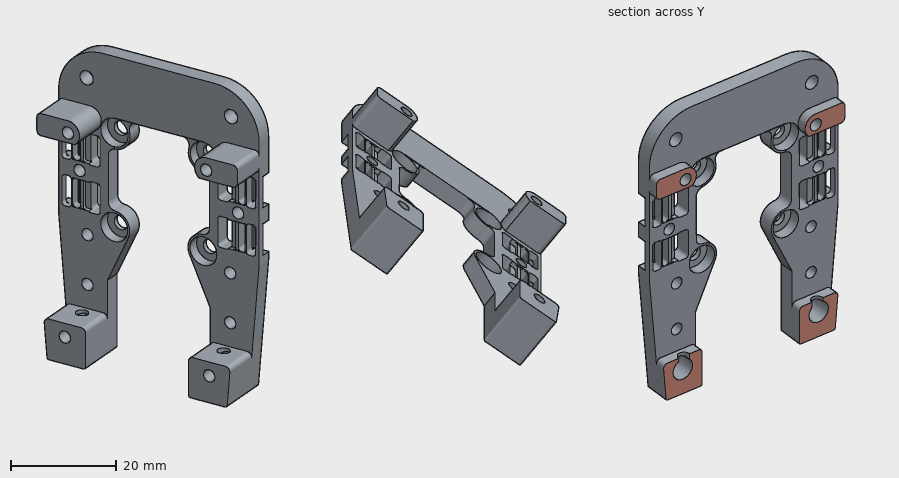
import cadquery as cq
import math

HEIGHT = 63.3
WIDTH = 45.0
HALF_WIDTH = WIDTH / 2
PLATE_THICKNESS = 3.5
BLOCK_REACH = 7.85
TOP_CORNER_RADIUS = 10.0
FOOT_OUTER_X = 20.2
FOOT_INNER_X = 11.5
FOOT_CORNER_RADIUS = 0.5

OPENING_TOP = 50.25
WAIST_X = 11.3
FLARE_BOTTOM = 15.7
OPENING_FILLET = 1.5

EAR_X = 10.0
EAR_UPPER_Z = 47.2
EAR_LOWER_Z = 27.3
EAR_RADIUS = 3.5
COUNTERBORE_DIAMETER = 6.0
COUNTERBORE_DEPTH = 2.4
LARGE_HOLE = 3.0
UPPER_EAR_STEP = 0.1
WEB_X = 6.7

SMALL_HOLE = 2.55
CORNER_HOLE = (16.2, 57.2)
BLOCK_HOLE = (15.5, 48.9)
WINDOW_HOLE = (17.8, 37.3)
LEG_HOLES = [(16.0, 24.2), (16.0, 13.7)]
FOOT_HOLE = (16.2, 5.7)
FOOT_BORE_DIAMETER = 4.5
FOOT_BORE_END = -3.5
FOOT_TOP_HOLE_X = 15.9
FOOT_TOP_HOLE_Y = -2.15

BLOCK_FILLET = 1.0
BLOCK_BOTTOM = 46.85
BLOCK_NOSE_RADIUS = 2.6
FOOT_HEIGHT = 8.6

WINDOW_HEIGHT = 6.6
WINDOW_SPACING = 10.0
WINDOW_OUTER_X = 21.7
WINDOW_INNER_X = 13.2
WINDOW_RADIUS = 0.7
POST_OUTER_X = 19.6
POST_INNER_X = 15.8
RIDGE_INNER_X = 17.1
RIDGE_OUTER_X = 17.7
FIN_INNER_X = 19.4
GROOVE_INSET = 0.25
GROOVE_RADIUS = 0.5
RIDGE_RECESS = 0.25
SHALLOW_GROOVE_DEPTH = 1.0
DEEP_GROOVE_DEPTH = 2.8
FIN_SLOT_FRONT = 2.15
SIDE_CHANNEL_FRONT = 1.45


def box(x_range, y_range, z_range):
    """Axis-aligned box between the given limits."""
    (x0, x1), (y0, y1), (z0, z1) = x_range, y_range, z_range
    return cq.Workplane("XY").box(x1 - x0, y1 - y0, z1 - z0, centered=False).translate((x0, y0, z0))


def hole(x, z, diameter, front, back):
    """Cylinder along Y that cuts a hole from the front to the back position."""
    drill = cq.Workplane("XZ", origin=(x, front, z)).circle(diameter / 2)
    return drill.extrude(front - back)


def arc_point(center, radius, angle):
    """Point on a circle at the given angle, counterclockwise from +X."""
    return (center[0] + radius * math.cos(angle), center[1] + radius * math.sin(angle))


def waist_fillet(ear_z, side):
    """Tangent points and middle of the hollow fillet joining an ear to the waist wall.

    side is +1 where the waist lies above the ear and -1 where it lies below.
    """
    reach = EAR_RADIUS + OPENING_FILLET
    center_x = WAIST_X - OPENING_FILLET
    rise = math.sqrt(reach ** 2 - (center_x - EAR_X) ** 2)
    center = (center_x, ear_z + side * rise)
    to_ear = math.atan2(-side * rise, EAR_X - center_x)
    on_ear = arc_point(center, OPENING_FILLET, to_ear)
    middle = arc_point(center, OPENING_FILLET, to_ear / 2)
    on_wall = (WAIST_X, center[1])
    return on_ear, middle, on_wall


def half_plate():
    """Right half of the plate, from the middle of the top bar down to the foot."""
    diagonal = TOP_CORNER_RADIUS * math.sqrt(0.5)
    corner_center = (HALF_WIDTH - TOP_CORNER_RADIUS, HEIGHT - TOP_CORNER_RADIUS)
    corner_middle = (corner_center[0] + diagonal, corner_center[1] + diagonal)

    ear_tip_x = EAR_X - EAR_RADIUS
    upper_ear_point, upper_middle, upper_wall = waist_fillet(EAR_UPPER_Z, -1)
    lower_ear_point, lower_middle, lower_wall = waist_fillet(EAR_LOWER_Z, 1)

    run = FOOT_INNER_X - EAR_X
    rise = EAR_LOWER_Z - FLARE_BOTTOM
    flare_tilt = math.atan2(run, rise) + math.asin(EAR_RADIUS / math.hypot(run, rise))
    flare_top = arc_point((EAR_X, EAR_LOWER_Z), EAR_RADIUS, math.pi + flare_tilt)
    web_foot = (WEB_X, EAR_UPPER_Z + math.sqrt(EAR_RADIUS ** 2 - (EAR_X - WEB_X) ** 2))
    toward_lower_left = math.radians(225)
    upper_arc_middle = arc_point((EAR_X, EAR_UPPER_Z), EAR_RADIUS, toward_lower_left)

    outline = (
        cq.Workplane("XZ")
        .moveTo(0, HEIGHT)
        .lineTo(corner_center[0], HEIGHT)
        .threePointArc(corner_middle, (HALF_WIDTH, corner_center[1]))
        .lineTo(HALF_WIDTH, EAR_LOWER_Z)
        .lineTo(FOOT_OUTER_X, 0)
        .lineTo(FOOT_INNER_X, 0)
        .lineTo(FOOT_INNER_X, FLARE_BOTTOM)
        .lineTo(*flare_top)
        .threePointArc((ear_tip_x, EAR_LOWER_Z), lower_ear_point)
        .threePointArc(lower_middle, lower_wall)
        .lineTo(*upper_wall)
        .threePointArc(upper_middle, upper_ear_point)
        .threePointArc(upper_arc_middle, web_foot)
        .lineTo(WEB_X, OPENING_TOP)
        .lineTo(0, OPENING_TOP)
        .close()
    )
    plate = outline.extrude(-PLATE_THICKNESS)
    web_corner = cq.selectors.NearestToPointSelector((WEB_X, PLATE_THICKNESS / 2, OPENING_TOP))
    return plate.edges("|Y").edges(web_corner).fillet(OPENING_FILLET)


def foot():
    """Block at the bottom of the leg, following the taper of its outer side."""
    taper = (HALF_WIDTH - FOOT_OUTER_X) / EAR_LOWER_Z
    block = (
        cq.Workplane("XZ")
        .moveTo(FOOT_INNER_X, 0)
        .lineTo(FOOT_OUTER_X, 0)
        .lineTo(FOOT_OUTER_X + taper * FOOT_HEIGHT, FOOT_HEIGHT)
        .lineTo(FOOT_INNER_X, FOOT_HEIGHT)
        .close()
        .extrude(BLOCK_REACH)
    )
    return block.faces(">Z").edges("|Y").fillet(BLOCK_FILLET)


def upper_block():
    """Block beside the upper ear, its inner end rounded about its screw hole."""
    x, z = BLOCK_HOLE
    top = z + BLOCK_NOSE_RADIUS
    nose_end_x = x - math.sqrt(BLOCK_NOSE_RADIUS ** 2 - (z - BLOCK_BOTTOM) ** 2)
    block = (
        cq.Workplane("XZ")
        .moveTo(HALF_WIDTH, top)
        .lineTo(x, top)
        .threePointArc((x - BLOCK_NOSE_RADIUS, z), (nose_end_x, BLOCK_BOTTOM))
        .lineTo(HALF_WIDTH, BLOCK_BOTTOM)
        .close()
        .extrude(BLOCK_REACH)
    )
    return block.faces(">X").edges("|Y").fillet(BLOCK_FILLET)


def belt_window(center_z):
    """Material removed for one belt window, leaving the toothed post between its openings."""
    z_range = (center_z - WINDOW_HEIGHT / 2, center_z + WINDOW_HEIGHT / 2)
    groove_z = (z_range[0] + GROOVE_INSET, z_range[1] - GROOVE_INSET)
    through = (0, PLATE_THICKNESS)

    cutter = box((POST_OUTER_X, WINDOW_OUTER_X), through, z_range).edges("|Y").fillet(WINDOW_RADIUS)
    inner_opening = box((WINDOW_INNER_X, POST_INNER_X), through, z_range)
    cutter = cutter.union(inner_opening.edges("|Y").fillet(WINDOW_RADIUS))

    inside_opening = POST_INNER_X - WINDOW_RADIUS
    cutter = cutter.union(box((inside_opening, FIN_INNER_X), (0, RIDGE_RECESS), groove_z))
    shallow = box((inside_opening, RIDGE_INNER_X), (0, SHALLOW_GROOVE_DEPTH), groove_z)
    cutter = cutter.union(shallow.edges("|Y and >X").fillet(GROOVE_RADIUS))
    deep = box((RIDGE_OUTER_X, FIN_INNER_X), (0, DEEP_GROOVE_DEPTH), groove_z)
    cutter = cutter.union(deep.edges("|Y").fillet(GROOVE_RADIUS))

    inside_groove = FIN_INNER_X - GROOVE_RADIUS
    inside_window = POST_OUTER_X + WINDOW_RADIUS
    cutter = cutter.union(box((inside_groove, inside_window), (FIN_SLOT_FRONT, DEEP_GROOVE_DEPTH), groove_z))
    side_x = (WINDOW_OUTER_X - WINDOW_RADIUS, HALF_WIDTH)
    return cutter.union(box(side_x, (SIDE_CHANNEL_FRONT, PLATE_THICKNESS), z_range))


half = half_plate().union(foot()).union(upper_block())
half = half.faces("<Z").edges("|Y").fillet(FOOT_CORNER_RADIUS)

step_region = box((0, EAR_X), (0, UPPER_EAR_STEP), (EAR_UPPER_Z - EAR_RADIUS, OPENING_TOP))
half = half.cut(step_region)

for ear_z in (EAR_UPPER_Z, EAR_LOWER_Z):
    half = half.cut(hole(EAR_X, ear_z, COUNTERBORE_DIAMETER, -BLOCK_REACH, COUNTERBORE_DEPTH))
    half = half.cut(hole(EAR_X, ear_z, LARGE_HOLE, 0, PLATE_THICKNESS))

half = half.cut(hole(*CORNER_HOLE, LARGE_HOLE, 0, PLATE_THICKNESS))
for x, z in [BLOCK_HOLE, WINDOW_HOLE, FOOT_HOLE] + LEG_HOLES:
    half = half.cut(hole(x, z, SMALL_HOLE, -BLOCK_REACH, PLATE_THICKNESS))

half = half.cut(hole(*FOOT_HOLE, FOOT_BORE_DIAMETER, FOOT_BORE_END, PLATE_THICKNESS))
foot_top_hole = cq.Workplane("XY", origin=(FOOT_TOP_HOLE_X, FOOT_TOP_HOLE_Y, FOOT_HOLE[1]))
half = half.cut(foot_top_hole.circle(SMALL_HOLE / 2).extrude(FOOT_HEIGHT - FOOT_HOLE[1]))

for side in (-1, 1):
    half = half.cut(belt_window(WINDOW_HOLE[1] + side * WINDOW_SPACING / 2))

result = half.union(half.mirror("YZ")).clean()